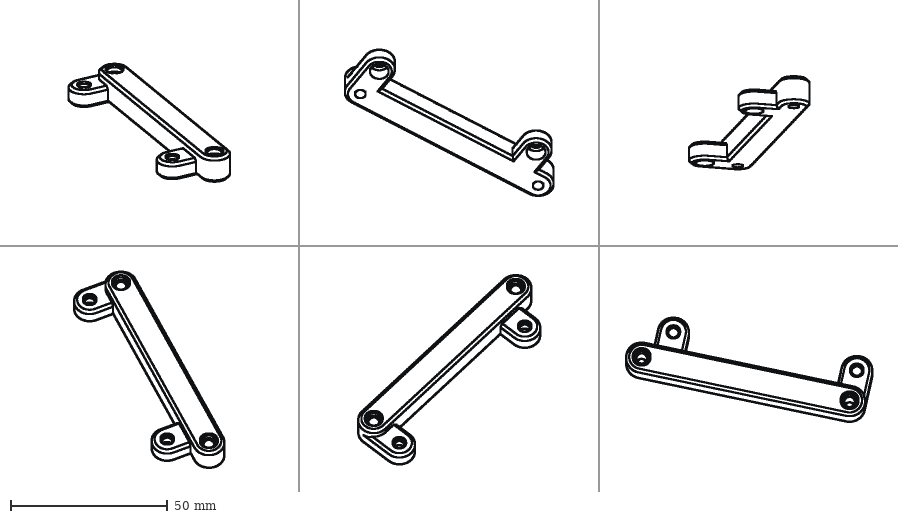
import cadquery as cq

bar_width = 10.0
bar_height = 9.0
bar_hole_spacing = 68.0
bar_length = bar_hole_spacing + bar_width
bar_hole_positions = (-bar_hole_spacing / 2, bar_hole_spacing / 2)

lug_width = bar_width
lug_height = 6.0
lug_reach = 11.0
lug_spacing = 60.0
first_lug_x = bar_hole_positions[0]
lug_positions = (first_lug_x, first_lug_x + lug_spacing)

edge_chamfer = 1.0

hole_diameter = 3.4
mouth_chamfer = 0.5

counterbore_diameter = 4.8
counterbore_depth = 2.0

lug_pocket_diameter = 6.0
lug_pocket_depth = 4.4


def rounded_strip(length, width, height, center_x, center_y, angle):
    """Round-ended strip standing on Z = 0, bevelled around top and bottom."""
    return (
        cq.Workplane("XY")
        .center(center_x, center_y)
        .slot2D(length, width, angle)
        .extrude(height)
        .faces("<Z or >Z")
        .chamfer(edge_chamfer)
    )


def cylinder(x, y, diameter, bottom_z, height):
    return cq.Workplane("XY", origin=(x, y, bottom_z)).circle(diameter / 2).extrude(height)


def mouth_bevel(x, y, top_z, bore_diameter):
    """Cone that bevels the mouth of a bore opening at height top_z."""
    bore_radius = bore_diameter / 2
    cone = cq.Solid.makeCone(
        bore_radius,
        bore_radius + mouth_chamfer,
        mouth_chamfer,
        pnt=cq.Vector(x, y, top_z - mouth_chamfer),
    )
    return cq.Workplane(cone)


def bar_hole_cutter(x):
    """Through hole with a bevelled counterbore in the top of the bar."""
    hole = cylinder(x, 0, hole_diameter, 0, bar_height)
    counterbore_floor = bar_height - counterbore_depth
    counterbore = cylinder(x, 0, counterbore_diameter, counterbore_floor, counterbore_depth)
    mouth = mouth_bevel(x, 0, bar_height, counterbore_diameter)
    return hole.union(counterbore).union(mouth)


def lug_hole_cutter(x):
    """Through hole bevelled at the top, with a wider pocket below."""
    y = -lug_reach
    hole = cylinder(x, y, hole_diameter, 0, lug_height)
    pocket = cylinder(x, y, lug_pocket_diameter, 0, lug_pocket_depth)
    mouth = mouth_bevel(x, y, lug_height, hole_diameter)
    return hole.union(pocket).union(mouth)


body = rounded_strip(bar_length, bar_width, bar_height, 0, 0, angle=0)
lug_length = lug_reach + lug_width
for lug_x in lug_positions:
    lug = rounded_strip(lug_length, lug_width, lug_height, lug_x, -lug_reach / 2, angle=90)
    body = body.union(lug)

for hole_x in bar_hole_positions:
    body = body.cut(bar_hole_cutter(hole_x))
for lug_x in lug_positions:
    body = body.cut(lug_hole_cutter(lug_x))

result = body